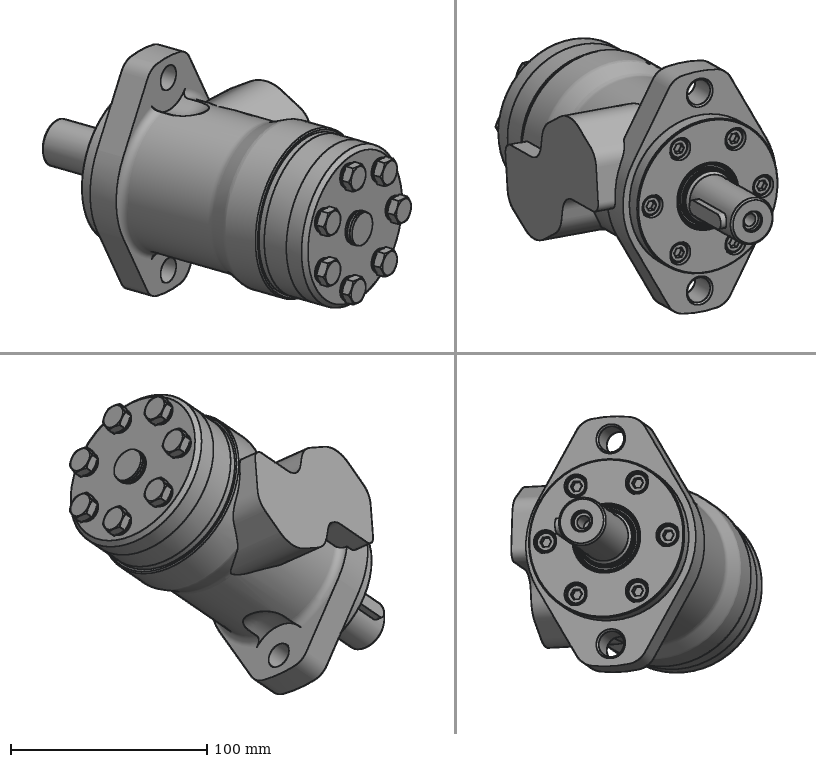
import cadquery as cq
import math


PILOT_FRONT = 46.2
FLANGE_FRONT = 54.6
FLANGE_BACK = 71.1
FLARE_START = 127.7
FLARE_END = 139.5
HOUSING_BACK = 159.9
GEROTOR_FRONT = 163.2
COVER_FRONT = 177.2
COVER_BACK = 189.2
OVERALL_LENGTH = 196.5

PILOT_DIA = 82.5
PILOT_CHAMFER = 0.5
BARREL_DIA = 81.0
HOUSING_DIA = 90.0
NECK_FILLET = 4.1
FLARE_START_RADIUS = 10.2
FLARE_END_RADIUS = 5.9
HOUSING_BACK_CHAMFER = 0.8

FLANGE_HEIGHT = 129.8
FLANGE_SIDE_ANGLE = 30.0
FLANGE_CORNER_RADIUS = 11.4
MOUNT_HOLE_DIA = 13.4
MOUNT_HOLE_CHAMFER = 1.0
MOUNT_HOLE_OFFSET = 53.2

POCKET_RADIUS = 18.0
POCKET_STRAIGHT_END = 80.5
POCKET_NOSE_RADIUS = 21.6

PORT_FACE_Y = 55.0
PORT_CENTRE_X = 110.4
LOBE_OFFSET = 18.0
LOBE_APEX_HEIGHT = 41.0
LOBE_APEX_RADIUS = 19.6
LOBE_SHOULDER_HALF_WIDTH = 27.1
LOBE_SHOULDER_HEIGHT = 25.5
LOBE_OUTER_RADIUS = 12.0
LOBE_INNER_RADIUS = 13.8
LOBE_OUTER_DRAFT = 6.0
LOBE_INNER_DRAFT = 10.0
LEDGE_HEIGHT = 5.3
LEDGE_ROOT_RADIUS = 10.2
LEDGE_EDGE_RADIUS = 5.3

SCREW_COUNT = 6
SCREW_CIRCLE_RADIUS = 32.5
SCREW_RECESS_DIA = 12.0
SCREW_RECESS_DEPTH = 3.0
SCREW_HEAD_DIA = 10.0
SCREW_HEAD_SINK = 1.2
SCREW_HEAD_CHAMFER = 0.4
SCREW_SOCKET_CORNERS = 5.9
SCREW_SOCKET_DEPTH = 3.1

SHAFT_DIA = 25.0
SHAFT_CHAMFER = 1.0
SHOULDER_DIA = 29.0
SHOULDER_FRONT = 44.5
SHOULDER_FACE_DIA = 28.5
SHOULDER_CONE_DIA = 27.7
SHOULDER_CONE_LENGTH = 1.5
SEAT_DIA = 30.3
SEAL_STEP_DIA = 35.0
SEAL_STEP_DEPTH = 1.0
SEAL_RECESS_DIA = 32.6
SEAL_RECESS_DEPTH = 2.0
SEAL_CHAMFER = 0.5
CENTRE_HOLE_DIA = 6.7
CENTRE_HOLE_DEPTH = 15.7
CENTRE_RECESS_DIA = 10.0
CENTRE_RECESS_DEPTH = 3.0
CENTRE_RECESS_CHAMFER = 0.5
DRILL_POINT_ANGLE = 118.0

KEY_START = 5.1
KEY_LENGTH = 32.6
KEY_WIDTH = 8.0
KEY_HEIGHT = 7.0
KEY_TOP = 15.7

STACK_DIA = 86.0
COVER_CHAMFER = 2.4
BOLT_COUNT = 7
BOLT_CIRCLE_RADIUS = 32.0
BOLT_NECK_DIA = 12.0
BOLT_NECK_LENGTH = 0.8
BOLT_COLLAR_DIA = 13.0
BOLT_HEAD_FLATS = 13.0
BOLT_HEAD_HEIGHT = 5.3
BOLT_CHAMFER_RADIAL = 1.2
BOLT_CHAMFER_AXIAL = 0.69

PLUG_STEPS = [(1.4, 17.0), (1.8, 18.0), (1.4, 17.7)]


def rounded_outline(plane, corners):
    """Closed wire through (u, v, radius) corners, each rounded by a tangent arc."""
    path = cq.Workplane(plane)
    for i, (u, v, radius) in enumerate(corners):
        corner = cq.Vector(u, v)
        before = (cq.Vector(*corners[i - 1][:2]) - corner).normalized()
        after = (cq.Vector(*corners[(i + 1) % len(corners)][:2]) - corner).normalized()
        half_angle = before.getAngle(after) / 2
        reach = radius / math.tan(half_angle)
        bisector = (before + after).normalized()
        start = corner + before * reach
        middle = corner + bisector * (radius / math.sin(half_angle) - radius)
        end = corner + after * reach
        path = path.moveTo(start.x, start.y) if i == 0 else path.lineTo(start.x, start.y)
        if radius > 0:
            path = path.threePointArc((middle.x, middle.y), (end.x, end.y))
    return path.close()


def turned(profile):
    """Solid of revolution of an XY profile about the shaft axis."""
    return profile.revolve(360, (0, 0, 0), (1, 0, 0))


def disc(x_start, x_end, diameter, y=0, z=0):
    """Cylinder along X between two stations."""
    return cq.Workplane("YZ", origin=(x_start, y, z)).circle(diameter / 2).extrude(x_end - x_start)


def ring_points(count, radius):
    """(y, z) points equally spaced on a circle, the first one on +Y."""
    angles = [2 * math.pi * i / count for i in range(count)]
    return [(radius * math.cos(a), radius * math.sin(a)) for a in angles]



def make_barrel():
    barrel_radius = BARREL_DIA / 2
    housing_radius = HOUSING_DIA / 2
    profile = rounded_outline("XY", [
        (FLANGE_FRONT, 0, 0),
        (FLANGE_FRONT, housing_radius, 0),
        (FLANGE_BACK, housing_radius, 0),
        (FLANGE_BACK, barrel_radius, NECK_FILLET),
        (FLARE_START, barrel_radius, FLARE_START_RADIUS),
        (FLARE_END, housing_radius, FLARE_END_RADIUS),
        (HOUSING_BACK, housing_radius, 0),
        (HOUSING_BACK, 0, 0),
    ])
    return turned(profile).faces(">X").chamfer(HOUSING_BACK_CHAMFER)


def make_flange():
    side_radius = HOUSING_DIA / 2
    end_radius = FLANGE_HEIGHT / 2
    side_angle = math.radians(FLANGE_SIDE_ANGLE)
    tip_angle = side_angle + math.acos(side_radius / end_radius)
    side_y, side_z = side_radius * math.cos(side_angle), side_radius * math.sin(side_angle)
    tip_y, tip_z = end_radius * math.cos(tip_angle), end_radius * math.sin(tip_angle)
    plate = (
        cq.Workplane("YZ", origin=(FLANGE_FRONT, 0, 0))
        .moveTo(side_y, -side_z)
        .threePointArc((side_radius, 0), (side_y, side_z))
        .lineTo(tip_y, tip_z)
        .threePointArc((0, end_radius), (-tip_y, tip_z))
        .lineTo(-side_y, side_z)
        .threePointArc((-side_radius, 0), (-side_y, -side_z))
        .lineTo(-tip_y, -tip_z)
        .threePointArc((0, -end_radius), (tip_y, -tip_z))
        .close()
        .extrude(FLANGE_BACK - FLANGE_FRONT)
    )
    tip_edges = plate.edges("|X").filter(lambda edge: abs(edge.Center().z) > side_radius)
    return plate.newObject(tip_edges.vals()).fillet(FLANGE_CORNER_RADIUS)


def make_port_block():
    outer_slope = math.tan(math.radians(LOBE_OUTER_DRAFT))
    inner_slope = math.tan(math.radians(LOBE_INNER_DRAFT))
    left_shoulder = -LOBE_OFFSET - LOBE_SHOULDER_HALF_WIDTH
    right_shoulder = -LOBE_OFFSET + LOBE_SHOULDER_HALF_WIDTH
    ledge_root = right_shoulder + inner_slope * (LOBE_SHOULDER_HEIGHT - LEDGE_HEIGHT)
    ledge_edge = -left_shoulder + outer_slope * (LOBE_SHOULDER_HEIGHT + LEDGE_HEIGHT)
    upper_lobe = [
        (left_shoulder, LOBE_SHOULDER_HEIGHT, LOBE_OUTER_RADIUS),
        (-LOBE_OFFSET, LOBE_APEX_HEIGHT, LOBE_APEX_RADIUS),
        (right_shoulder, LOBE_SHOULDER_HEIGHT, LOBE_INNER_RADIUS),
        (ledge_root, LEDGE_HEIGHT, LEDGE_ROOT_RADIUS),
        (ledge_edge, LEDGE_HEIGHT, LEDGE_EDGE_RADIUS),
    ]
    lower_lobe = [(-x, -z, radius) for x, z, radius in upper_lobe]
    plane = cq.Plane(origin=(PORT_CENTRE_X, 0, 0), xDir=(1, 0, 0), normal=(0, -1, 0))
    return rounded_outline(plane, upper_lobe + lower_lobe).extrude(-PORT_FACE_Y)


def make_mounting_cut(z):
    """Chamfered mounting hole with its clearance pocket, on an axis at height z."""
    hole = disc(FLANGE_FRONT, FLANGE_BACK, MOUNT_HOLE_DIA, z=z)
    chamfer_top_radius = MOUNT_HOLE_DIA / 2 + MOUNT_HOLE_CHAMFER
    chamfer = cq.Workplane(cq.Solid.makeCone(
        chamfer_top_radius, MOUNT_HOLE_DIA / 2, MOUNT_HOLE_CHAMFER,
        cq.Vector(FLANGE_FRONT, 0, z), cq.Vector(1, 0, 0),
    ))
    nose_centre = POCKET_RADIUS - POCKET_NOSE_RADIUS
    tip = POCKET_STRAIGHT_END + math.sqrt(POCKET_NOSE_RADIUS**2 - nose_centre**2)
    half_turn = math.atan2(tip - POCKET_STRAIGHT_END, -nose_centre) / 2
    pocket = turned(
        cq.Workplane("XY")
        .moveTo(FLANGE_BACK, 0)
        .lineTo(FLANGE_BACK, POCKET_RADIUS)
        .lineTo(POCKET_STRAIGHT_END, POCKET_RADIUS)
        .threePointArc(
            (POCKET_STRAIGHT_END + POCKET_NOSE_RADIUS * math.sin(half_turn),
             nose_centre + POCKET_NOSE_RADIUS * math.cos(half_turn)),
            (tip, 0),
        )
        .close()
    ).translate((0, 0, z))
    return hole.union(chamfer).union(pocket)


def make_shaft_bore():
    step_radius = SEAL_STEP_DIA / 2
    recess_radius = SEAL_RECESS_DIA / 2
    seat_radius = SEAT_DIA / 2
    step_back = PILOT_FRONT + SEAL_STEP_DEPTH
    recess_back = PILOT_FRONT + SEAL_RECESS_DEPTH
    return turned(cq.Workplane("XY").polyline([
        (PILOT_FRONT, 0),
        (PILOT_FRONT, step_radius + SEAL_CHAMFER),
        (PILOT_FRONT + SEAL_CHAMFER, step_radius),
        (step_back, step_radius),
        (step_back, recess_radius + SEAL_CHAMFER),
        (step_back + SEAL_CHAMFER, recess_radius),
        (recess_back, recess_radius),
        (recess_back, seat_radius),
        (FLANGE_BACK, seat_radius),
        (FLANGE_BACK, 0),
    ]).close())


def make_screw_recess(y, z):
    return disc(PILOT_FRONT, PILOT_FRONT + SCREW_RECESS_DEPTH, SCREW_RECESS_DIA, y, z)


def make_screw_head(y, z):
    head_front = PILOT_FRONT + SCREW_HEAD_SINK
    head = disc(head_front, PILOT_FRONT + SCREW_RECESS_DEPTH, SCREW_HEAD_DIA, y, z)
    return head.faces("<X").chamfer(SCREW_HEAD_CHAMFER)


def make_screw_socket(y, z):
    head_front = PILOT_FRONT + SCREW_HEAD_SINK
    hexagon = cq.Workplane("YZ", origin=(head_front, y, z)).polygon(6, SCREW_SOCKET_CORNERS)
    return hexagon.extrude(SCREW_SOCKET_DEPTH)


def make_housing():
    body = make_barrel().union(make_flange()).union(make_port_block())
    for z in (MOUNT_HOLE_OFFSET, -MOUNT_HOLE_OFFSET):
        body = body.cut(make_mounting_cut(z))
    pilot = disc(PILOT_FRONT, FLANGE_FRONT, PILOT_DIA).faces("<X").chamfer(PILOT_CHAMFER)
    body = body.union(pilot).cut(make_shaft_bore())
    for y, z in ring_points(SCREW_COUNT, SCREW_CIRCLE_RADIUS):
        body = body.cut(make_screw_recess(y, z))
        body = body.union(make_screw_head(y, z))
        body = body.cut(make_screw_socket(y, z))
    return body



def make_key():
    """Round-ended key lying in the +Y side of the shaft."""
    return (
        cq.Workplane("XZ", origin=(KEY_START + KEY_LENGTH / 2, KEY_TOP, 0))
        .slot2D(KEY_LENGTH, KEY_WIDTH)
        .extrude(KEY_HEIGHT)
    )


def make_centre_hole():
    hole_radius = CENTRE_HOLE_DIA / 2
    recess_radius = CENTRE_RECESS_DIA / 2
    point_length = hole_radius / math.tan(math.radians(DRILL_POINT_ANGLE / 2))
    return turned(cq.Workplane("XY").polyline([
        (0, 0),
        (0, recess_radius + CENTRE_RECESS_CHAMFER),
        (CENTRE_RECESS_CHAMFER, recess_radius),
        (CENTRE_RECESS_DEPTH, recess_radius),
        (CENTRE_RECESS_DEPTH, hole_radius),
        (CENTRE_HOLE_DEPTH, hole_radius),
        (CENTRE_HOLE_DEPTH + point_length, 0),
    ]).close())


def make_shaft(key):
    shaft_radius = SHAFT_DIA / 2
    face_radius = SHOULDER_FACE_DIA / 2
    shoulder_radius = SHOULDER_DIA / 2
    seat_radius = SEAT_DIA / 2
    blank = turned(cq.Workplane("XY").polyline([
        (0, 0),
        (0, shaft_radius - SHAFT_CHAMFER),
        (SHAFT_CHAMFER, shaft_radius),
        (SHOULDER_FRONT - SHOULDER_CONE_LENGTH, shaft_radius),
        (SHOULDER_FRONT, SHOULDER_CONE_DIA / 2),
        (SHOULDER_FRONT, face_radius),
        (SHOULDER_FRONT + shoulder_radius - face_radius, shoulder_radius),
        (PILOT_FRONT, shoulder_radius),
        (PILOT_FRONT, seat_radius),
        (FLANGE_BACK, seat_radius),
        (FLANGE_BACK, 0),
    ]).close())
    return blank.cut(make_centre_hole()).cut(key)



def make_plate():
    return disc(HOUSING_BACK, GEROTOR_FRONT, STACK_DIA)


def make_gerotor():
    return disc(GEROTOR_FRONT, COVER_FRONT, STACK_DIA)


def make_bolt(y, z):
    """Hexagon head with corners towards +Y and -Y and a conical end chamfer, on a round collar."""
    collar_front = COVER_BACK + BOLT_NECK_LENGTH
    head_front = OVERALL_LENGTH - BOLT_HEAD_HEIGHT
    corner_dia = BOLT_HEAD_FLATS / math.cos(math.pi / 6)
    hexagon = cq.Workplane("YZ", origin=(head_front, y, z)).polygon(6, corner_dia).extrude(BOLT_HEAD_HEIGHT)
    envelope = disc(head_front, OVERALL_LENGTH, corner_dia, y, z)
    envelope = envelope.faces(">X").edges().chamfer(BOLT_CHAMFER_AXIAL, BOLT_CHAMFER_RADIAL)
    neck = disc(COVER_BACK, collar_front, BOLT_NECK_DIA, y, z)
    collar = disc(collar_front, head_front, BOLT_COLLAR_DIA, y, z)
    return neck.union(collar).union(hexagon.intersect(envelope))


def make_plug():
    plug = cq.Workplane("YZ")
    start = COVER_BACK
    for length, diameter in PLUG_STEPS:
        plug = plug.union(disc(start, start + length, diameter))
        start += length
    return plug


def make_cover():
    cover = disc(COVER_FRONT, COVER_BACK, STACK_DIA).faces(">X").chamfer(COVER_CHAMFER)
    cover = cover.union(make_plug())
    for y, z in ring_points(BOLT_COUNT, BOLT_CIRCLE_RADIUS):
        cover = cover.union(make_bolt(y, z))
    return cover


housing = make_housing()
key = make_key()
shaft = make_shaft(key)
plate = make_plate()
gerotor = make_gerotor()
cover = make_cover()

result = cq.Compound.makeCompound([
    housing.val(),
    shaft.val(),
    key.val(),
    plate.val(),
    gerotor.val(),
    cover.val(),
])